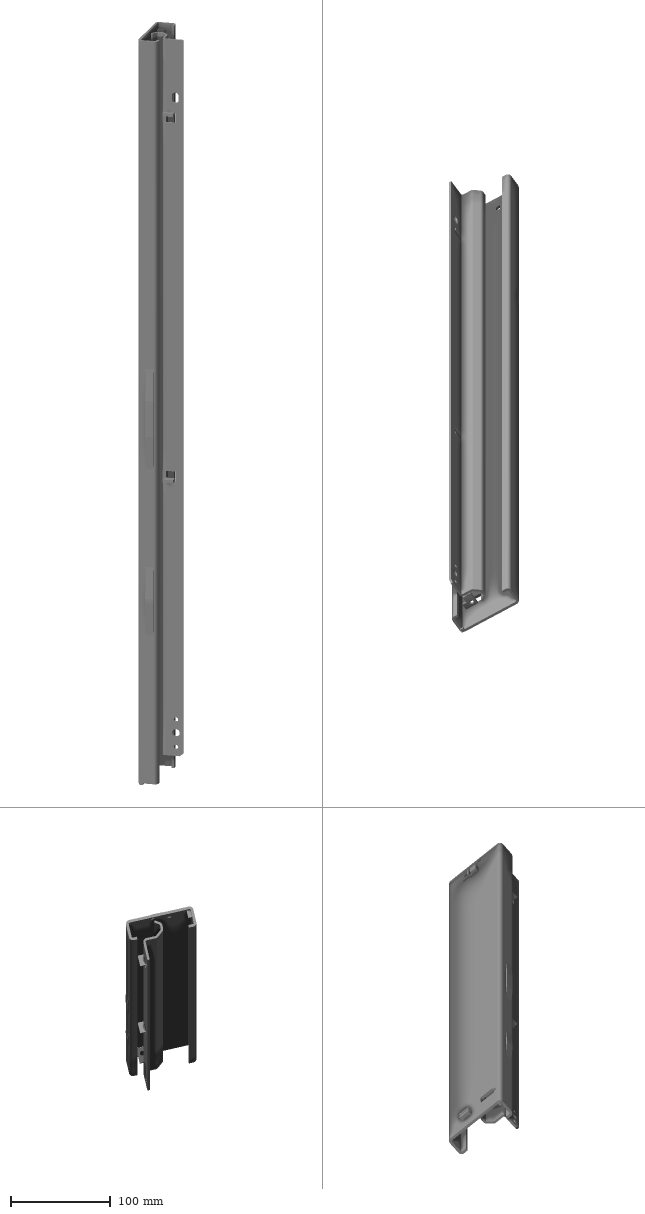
import cadquery as cq
import math

WIDTH = 49.0
DEPTH = 71.0
LENGTH = 780.0
LEFT, RIGHT = -WIDTH / 2, WIDTH / 2
FRONT, BACK = -DEPTH / 2, DEPTH / 2
TOP, BOTTOM = LENGTH / 2, -LENGTH / 2

CHANNEL_THICKNESS = 2.7
CHANNEL_BEND = 1.2
LUG_HEIGHT = 5.1
PAD_HEIGHT = 1.5
NUB_LENGTH = 1.95
CHANNEL_WIDTH = 21.0
BACK_LIP_DEPTH = 8.5
FRONT_LIP_DEPTH = 8.0
PAD_FLATS = ((-24.0, 13.0), (-198.0, -194.0))
DENT_DEPTH = 1.5
WINDOW_BOTTOM = -349.5
LUG_GROOVE_DEPTH = 3.0
WEB_X = LEFT + LUG_HEIGHT
WEB_INNER_X = WEB_X + CHANNEL_THICKNESS
CHANNEL_FRONT = FRONT + PAD_HEIGHT
CHANNEL_BOTTOM = BOTTOM + NUB_LENGTH

RAIL_THICKNESS = 2.0
RAIL_BEND = 1.5
RAIL_LENGTH = 750.0
RAIL_BOTTOM = TOP - RAIL_LENGTH
RAIL_LEG_X = 3.5
FLANGE_BACK = -19.0
FLANGE_Y = FLANGE_BACK - RAIL_THICKNESS / 2
FLANGE_CORNER = 3.0
TAB_FRONT = -26.5
TAB_THICKNESS = 3.0
HOOK_PATH = [(-12.5, -5.5), (-8.5, 0.4), (-2.0, 0.4), (RAIL_LEG_X, -7.0)]


def block(x_range, y_range, z_range):
    """A box between the given limits."""
    (x0, x1), (y0, y1), (z0, z1) = x_range, y_range, z_range
    return cq.Workplane("XY").box(x1 - x0, y1 - y0, z1 - z0, centered=False).translate((x0, y0, z0))


def sheet_side(path, offset):
    """The path moved sideways to its left by offset, with mitred corners."""
    angles = [math.atan2(y1 - y0, x1 - x0) for (x0, y0), (x1, y1) in zip(path, path[1:])]
    before = angles[:1] + angles
    after = angles + angles[-1:]
    side = []
    for (x, y), a, b in zip(path, before, after):
        turn = math.remainder(b - a, 2 * math.pi)
        normal = a + turn / 2 + math.pi / 2
        reach = offset / math.cos(turn / 2)
        side.append((x + reach * math.cos(normal), y + reach * math.sin(normal)))
    return side


def bent_sheet(path, thickness, inside_radius, bottom, top):
    """Folded sheet metal around the middle line path, with every fold rounded."""
    left = sheet_side(path, thickness / 2)
    right = sheet_side(path, -thickness / 2)
    sheet = cq.Workplane("XY").workplane(offset=bottom).polyline(left + right[::-1]).close()
    sheet = sheet.extrude(top - bottom)
    for i in range(1, len(path) - 1):
        (x0, y0), (x1, y1), (x2, y2) = path[i - 1:i + 2]
        turns_left = (x1 - x0) * (y2 - y1) > (y1 - y0) * (x2 - x1)
        inner, outer = (left[i], right[i]) if turns_left else (right[i], left[i])
        for (x, y), radius in ((inner, inside_radius), (outer, inside_radius + thickness)):
            sheet = sheet.edges(cq.NearestToPointSelector((x, y, (bottom + top) / 2))).fillet(radius)
    return sheet



def channel_profile():
    half = CHANNEL_THICKNESS / 2
    web, lip = WEB_X + half, WEB_X + CHANNEL_WIDTH - half
    front, back = CHANNEL_FRONT + half, BACK - half
    path = [
        (lip, BACK - BACK_LIP_DEPTH), (lip, back), (web, back),
        (web, front), (lip, front), (lip, CHANNEL_FRONT + FRONT_LIP_DEPTH),
    ]
    return bent_sheet(path, CHANNEL_THICKNESS, CHANNEL_BEND, CHANNEL_BOTTOM, TOP)


def ramped_pad(flat_bottom, flat_top):
    """A pad on the front flange: flat in the middle with a long ramp at each end."""
    ramp_length = 33.5
    left, width = -11.0, 8.5
    seat = CHANNEL_FRONT + CHANNEL_THICKNESS / 2
    outline = [
        (seat, flat_bottom - ramp_length), (CHANNEL_FRONT, flat_bottom - ramp_length),
        (FRONT, flat_bottom), (FRONT, flat_top),
        (CHANNEL_FRONT, flat_top + ramp_length), (seat, flat_top + ramp_length),
    ]
    return cq.Workplane("YZ").workplane(offset=left).polyline(outline).close().extrude(width)


def web_hole(y, z, diameter, length):
    """A cutter for a round hole, or a hole elongated along Z, through the web."""
    cutter = cq.Workplane("YZ").workplane(offset=WEB_X).center(y, z)
    if length > diameter:
        cutter = cutter.slot2D(length, diameter, 90)
    else:
        cutter = cutter.circle(diameter / 2)
    return cutter.extrude(CHANNEL_THICKNESS)


def upper_lug():
    """A mounting lug with a groove along Z."""
    z_range = (351.0, 363.0)
    groove_y = (1.5, 4.0)
    lug = block((LEFT, WEB_X), (-5.5, 5.5), z_range)
    return lug.cut(block((LEFT, LEFT + LUG_GROOVE_DEPTH), groove_y, z_range))


def lower_lug():
    """A mounting lug with a groove along Y."""
    y_range = (4.0, 15.5)
    groove_z = (-362.0, -359.0)
    lug = block((LEFT, WEB_X), y_range, (-366.5, -356.0))
    return lug.cut(block((LEFT, LEFT + LUG_GROOVE_DEPTH), y_range, groove_z))


def stepped_shelf():
    """A shelf folded inwards below the web window, narrower at the front and with a small hole."""
    thickness = 3.0
    front, step, back = -27.0, -23.0, -13.0
    z_range = (WINDOW_BOTTOM - thickness, WINDOW_BOTTOM)
    start = WEB_X + DENT_DEPTH
    wide = block((start, -3.0), (step, back), z_range)
    narrow = block((start, -10.0), (front, step), z_range)
    hole = cq.Workplane("XY", origin=(-12.5, -18.0, z_range[0])).circle(2.0).extrude(thickness)
    return wide.union(narrow).cut(hole)


def web_window():
    """A cutter for the window above the shelf, stepped down at its front upper corner."""
    front, step, back = -27.0, -23.5, -8.0
    top, step_top = -337.0, -342.0
    outline = [
        (back, WINDOW_BOTTOM), (front, WINDOW_BOTTOM), (front, step_top),
        (step, step_top), (step, top), (back, top),
    ]
    return cq.Workplane("YZ").workplane(offset=WEB_X).polyline(outline).close().extrude(CHANNEL_THICKNESS)


def web_dent(y_range, z_range):
    """A cutter for a shallow rectangular dent in the outer face of the web."""
    return block((WEB_X, WEB_X + DENT_DEPTH), y_range, z_range)


def make_channel():
    channel = channel_profile()
    for flat_bottom, flat_top in PAD_FLATS:
        channel = channel.union(ramped_pad(flat_bottom, flat_top))
    channel = channel.union(upper_lug()).union(lower_lug())

    channel = channel.cut(web_window())
    channel = channel.cut(web_dent((-26.0, -8.5), (-353.0, WINDOW_BOTTOM)))
    channel = channel.union(stepped_shelf())

    channel = channel.cut(web_hole(11.0, 370.0, 5.0, 7.0))
    channel = channel.cut(web_hole(-6.0, 381.5, 4.0, 4.0))
    channel = channel.cut(web_dent((5.5, 15.0), (356.0, 360.0)))

    stop_z = (380.0, 384.0)
    channel = channel.union(block((WEB_INNER_X, -9.0), (29.0, 33.5), stop_z))
    channel = channel.cut(web_dent((30.0, 33.5), stop_z))

    nub = block((-18.0, -14.0), (-33.0, -29.0), (BOTTOM, CHANNEL_BOTTOM))
    return channel.union(nub)



def flange_sketch(x, z):
    """A workplane in the middle of the flange, parallel to it and centred on x and z."""
    return cq.Workplane("XZ", origin=(x, FLANGE_Y, z))


def slot_with_tab(rail, slot_bottom, tab_bottom):
    """Cut a slot at the root of the flange and fold a tab forwards from one of its ends."""
    slot_height = 11.0
    slot_front = FLANGE_BACK - 8.0
    slot = block((1.5, 17.0), (slot_front, FLANGE_BACK), (slot_bottom, slot_bottom + slot_height))
    tab = block((5.0, 15.5), (TAB_FRONT, FLANGE_BACK), (tab_bottom, tab_bottom + TAB_THICKNESS))
    return rail.cut(slot).union(tab)


def make_rail():
    path = HOOK_PATH + [(RAIL_LEG_X, FLANGE_Y), (RIGHT, FLANGE_Y)]
    rail = bent_sheet(path, RAIL_THICKNESS, RAIL_BEND, RAIL_BOTTOM, TOP)
    corner = cq.NearestToPointSelector((RIGHT, FLANGE_Y, RAIL_BOTTOM))
    rail = rail.edges("|Y").edges(corner).chamfer(FLANGE_CORNER)

    holes = [flange_sketch(16.0, 329.0).slot2D(11.0, 7.0, 90)]
    for z, diameter in ((-322.0, 5.0), (-336.0, 8.0), (-351.0, 5.0)):
        holes.append(flange_sketch(17.0, z).circle(diameter / 2))
    for hole in holes:
        rail = rail.cut(hole.extrude(RAIL_THICKNESS, both=True))

    upper_tab_bottom = 310.5
    lower_slot_bottom = -73.0
    rail = slot_with_tab(rail, 303.0, upper_tab_bottom)
    return slot_with_tab(rail, lower_slot_bottom, lower_slot_bottom)


channel = make_channel()
rail = make_rail()
result = cq.Compound.makeCompound([channel.solids().val(), rail.solids().val()])